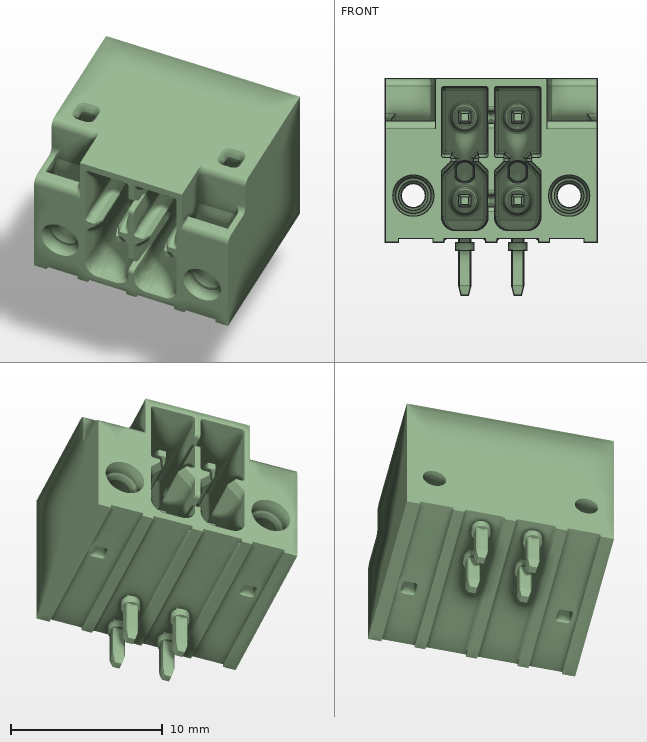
import cadquery as cq
import math

WIDTH = 14.0
DEPTH = 11.6
HEIGHT = 10.8
TAIL_DROP = 14.3 - HEIGHT

COLUMN_X = 1.75
LOWER_Z = 2.73
UPPER_Z = 8.24
LOWER_TAIL_Y = DEPTH - 3.59
UPPER_TAIL_Y = DEPTH - 1.1

CAVITY_DEPTH = 6.58
CAVITY_HALF = 1.55
CAVITY_TOP = 10.27
CAVITY_BOTTOM = 0.77
CAVITY_DRAFT = 0.07
LEAD_IN = 0.65
SMALL_RADIUS = 0.2
BOTTOM_RADIUS = 0.93
RAMP_RADIUS = 0.7
NECK_BOTTOM = 5.33
TOOTH_TOP = 5.8
TOOTH_NOSE_TOP = 5.58
NECK_HALF = 0.59
NECK_NOSE_HALF = 0.92
TOOTH_CHAMFER = 0.29
SHOULDER_RADIUS = 0.72
NOSE_BAND_BOTTOM = 3.86
NOSE_BAND_TOP = 6.15
SHARP = 0.03

BOSS_RADIUS = 0.95
BOSS_TOP_RADIUS = 0.83
BOSS_HEIGHT = 0.57
BOSS_ROUND = 0.13
DIMPLE_DIAMETER = 1.49
DIMPLE_WIDTH = 1.27
DIMPLE_Z = 4.65
DIMPLE_DEPTH = 0.43
DIMPLE_DRAFT_ANGLE = 13

SLOT_HEIGHT = 0.8
SLOT_ROUND = 0.3
SLOT_HALF_LENGTH = 0.43
SLOT_DEPTH = 5.72

BLOCK_HALF = 3.68
SHELF_Z = 8.0
NOTCH_DEPTH = 2.82
NOTCH_RADIUS = 0.5
NOTCH_CORNER_RADIUS = 0.29
RIM_WIDTH = 0.41
POCKET_FRONT_Y = 0.92
POCKET_FLOOR_Z = 6.5
SLOPE_TOP_Z = 7.52
SLOPE_RUN = 0.6

MOUNT_X = 5.13
MOUNT_Z = 3.07
MOUNT_RADIUS = 0.79
MOUNT_NECK_RADIUS = 0.97
MOUNT_NECK_LENGTH = 0.29
MOUNT_SEAT_RADIUS = 1.17
MOUNT_MOUTH_RADIUS = 1.36
MOUNT_SEAT_DEPTH = 0.86

SHAFT_X = 5.25
SHAFT_Y = 4.49
SHAFT_SIZE = 1.02
SHAFT_CORNER = 0.21
FUNNEL_SIZE = 1.65
FUNNEL_CORNER = 0.53
FUNNEL_DEPTH = 0.5

FOOT_HEIGHT = 0.25
SIDE_GROOVE_X = 4.98
SIDE_GROOVE_WIDTH = 2.25
TAIL_GROOVE_WIDTH = 2.75
GROOVE_CHAMFER = 0.15
GROOVE_MOUTH = 0.43

PIN_SIZE = 0.82
PIN_EDGE = 0.07
PIN_TIP_SIZE = 0.49
PIN_TIP_LENGTH = 0.65
PIN_FRONT_Y = 2
COLLAR_DIAMETER = 1.25
COLLAR_HEIGHT = 0.53

SIDES = (-1, 1)
TOLERANCE = 1.43e-07


def cavity_section(y, inset, neck_half, tooth_top, chamfer, shoulder_radius):
    """Closed outline of a two-lobed cavity, centred on X = 0, in the plane at the given Y."""
    half = CAVITY_HALF - inset
    top = CAVITY_TOP - inset
    bottom = CAVITY_BOTTOM
    shoulder_z = NECK_BOTTOM - (half - neck_half)
    right = [
        (half, bottom),
        (half, shoulder_z),
        (neck_half, NECK_BOTTOM),
        (neck_half, tooth_top - chamfer),
        (neck_half + chamfer, tooth_top),
        (half, tooth_top),
        (half, top),
    ]
    left = [(-x, z) for x, z in reversed(right)]
    wire = cq.Wire.makePolygon([cq.Vector(x, y, z) for x, z in right + left], close=True)

    def vertices_at(*heights):
        return [
            v for v in wire.Vertices()
            if abs(abs(v.X) - half) < TOLERANCE and any(abs(v.Z - z) < TOLERANCE for z in heights)
        ]

    wire = wire.fillet2D(BOTTOM_RADIUS, vertices_at(bottom))
    wire = wire.fillet2D(shoulder_radius, vertices_at(shoulder_z))
    return wire.fillet2D(SMALL_RADIUS, vertices_at(tooth_top, top))


def cavity_space():
    """Space of one cavity: drafted walls, tapered tooth noses, rounded floor edges and a ramp below."""
    mouth = cavity_section(0, 0, NECK_NOSE_HALF, TOOTH_NOSE_TOP, SHARP, SHARP)
    front, throat, floor = [
        cavity_section(
            y, CAVITY_DRAFT * y / CAVITY_DEPTH, NECK_HALF, TOOTH_TOP, TOOTH_CHAMFER, SHOULDER_RADIUS
        )
        for y in (0, LEAD_IN, CAVITY_DEPTH)
    ]
    noses = cq.Workplane(cq.Solid.makeLoft([mouth, throat], True)).intersect(
        cq.Workplane("XY", origin=(0, 0, NOSE_BAND_BOTTOM)).box(
            WIDTH, DEPTH, NOSE_BAND_TOP - NOSE_BAND_BOTTOM, centered=(True, True, False)
        )
    )
    body = cq.Workplane(cq.Solid.makeLoft([front, floor], True))
    ramp = (
        cq.Workplane("YZ")
        .rect(CAVITY_DEPTH, HEIGHT - CAVITY_BOTTOM, centered=False)
        .extrude(CAVITY_HALF, both=True)
        .translate((0, 0, CAVITY_BOTTOM))
        .edges("|X and >Y and <Z")
        .fillet(RAMP_RADIUS)
    )
    body = body.intersect(ramp)
    floor_and_ramp = body.faces(cq.selectors.BoxSelector(
        (-CAVITY_HALF, CAVITY_DEPTH - RAMP_RADIUS, 0), (CAVITY_HALF, CAVITY_DEPTH + RAMP_RADIUS, HEIGHT)))
    rounded_edges = floor_and_ramp.edges().filter(lambda edge: abs(edge.Center().x) > SMALL_RADIUS)
    return noses.union(rounded_edges.fillet(SMALL_RADIUS))


def floor_boss(z):
    """Boss around a pin on the cavity floor, with a round at its base and at its top."""
    floor_y = CAVITY_DEPTH
    top_y = floor_y - BOSS_HEIGHT
    profile = (
        cq.Workplane("XY")
        .moveTo(0, floor_y)
        .lineTo(BOSS_RADIUS + BOSS_ROUND, floor_y)
        .radiusArc((BOSS_RADIUS, floor_y - BOSS_ROUND), -BOSS_ROUND)
        .lineTo(BOSS_TOP_RADIUS, top_y + BOSS_ROUND)
        .radiusArc((BOSS_TOP_RADIUS - BOSS_ROUND, top_y), BOSS_ROUND)
        .lineTo(0, top_y)
        .close()
    )
    return profile.revolve(360, (0, 0, 0), (0, 1, 0)).translate((0, 0, z))


def floor_dimple():
    """Tapered round recess with flattened sides in the cavity floor."""
    round_part = (
        cq.Workplane("XZ", origin=(0, CAVITY_DEPTH, DIMPLE_Z))
        .circle(DIMPLE_DIAMETER / 2)
        .extrude(-DIMPLE_DEPTH, taper=DIMPLE_DRAFT_ANGLE)
    )
    flats = (
        cq.Workplane("XZ", origin=(0, CAVITY_DEPTH, DIMPLE_Z))
        .rect(DIMPLE_WIDTH, DIMPLE_DIAMETER)
        .extrude(-DIMPLE_DEPTH, taper=DIMPLE_DRAFT_ANGLE)
    )
    return round_part.intersect(flats)


def wall_slot(z):
    """Slot through the wall between the cavities, flared at the front and round at its end."""
    half = SLOT_HEIGHT / 2
    end_y = SLOT_DEPTH - half
    return (
        cq.Workplane("YZ")
        .moveTo(0, half + SLOT_ROUND)
        .radiusArc((SLOT_ROUND, half), -SLOT_ROUND)
        .lineTo(end_y, half)
        .threePointArc((SLOT_DEPTH, 0), (end_y, -half))
        .lineTo(SLOT_ROUND, -half)
        .radiusArc((0, -half - SLOT_ROUND), -SLOT_ROUND)
        .close()
        .extrude(SLOT_HALF_LENGTH, both=True)
        .translate((0, 0, z))
    )


def shoulder_notch():
    """Open notch above the right-hand shelf, rounded where it meets the top and front faces."""
    r = NOTCH_RADIUS
    back_start = NOTCH_DEPTH - r
    sharp = (
        cq.Workplane("YZ", origin=(BLOCK_HALF, 0, 0))
        .moveTo(0, HEIGHT)
        .lineTo(NOTCH_DEPTH + r, HEIGHT)
        .radiusArc((NOTCH_DEPTH, HEIGHT - r), -r)
        .lineTo(NOTCH_DEPTH, SHELF_Z + r)
        .radiusArc((back_start, SHELF_Z), r)
        .lineTo(r, SHELF_Z)
        .radiusArc((0, SHELF_Z - r), -r)
        .close()
        .extrude(WIDTH / 2 - BLOCK_HALF)
    )
    front_part = sharp.intersect(cq.Workplane("XY").box(2 * WIDTH, 2 * back_start, 2 * HEIGHT))
    back_corner = cq.selectors.BoxSelector((0, back_start, SHELF_Z), (WIDTH, NOTCH_DEPTH + r, HEIGHT))
    return sharp.faces("<X").edges(back_corner).fillet(NOTCH_CORNER_RADIUS).union(front_part)


def shelf_pocket():
    """Pocket sunk in the right-hand shelf, with a sloped back and rounded back corners."""
    back_corners = cq.selectors.BoxSelector(
        (0, NOTCH_DEPTH - SLOPE_RUN, POCKET_FLOOR_Z), (WIDTH, DEPTH, HEIGHT)
    )
    return (
        cq.Workplane("YZ", origin=(BLOCK_HALF, 0, 0))
        .moveTo(POCKET_FRONT_Y, POCKET_FLOOR_Z)
        .lineTo(NOTCH_DEPTH - SLOPE_RUN, POCKET_FLOOR_Z)
        .lineTo(NOTCH_DEPTH, SLOPE_TOP_Z)
        .lineTo(NOTCH_DEPTH, HEIGHT - NOTCH_RADIUS)
        .lineTo(POCKET_FRONT_Y, HEIGHT - NOTCH_RADIUS)
        .close()
        .extrude(WIDTH / 2 - RIM_WIDTH - BLOCK_HALF)
        .edges("not |X")
        .edges(back_corners)
        .fillet(NOTCH_CORNER_RADIUS)
    )


def mounting_hole():
    """Stepped hole along Y with a conical mouth, on the right-hand side."""
    neck_end = MOUNT_SEAT_DEPTH + MOUNT_NECK_LENGTH
    return (
        cq.Workplane("XY")
        .polyline([
            (0, 0),
            (MOUNT_MOUTH_RADIUS, 0),
            (MOUNT_SEAT_RADIUS, MOUNT_SEAT_DEPTH),
            (MOUNT_NECK_RADIUS, MOUNT_SEAT_DEPTH),
            (MOUNT_RADIUS, neck_end),
            (MOUNT_RADIUS, DEPTH),
            (0, DEPTH),
        ])
        .close()
        .revolve(360, (0, 0, 0), (0, 1, 0))
        .translate((MOUNT_X, 0, MOUNT_Z))
    )


def square_shaft():
    """Square shaft with a funnel at the top, on the right-hand side."""
    funnel_z = HEIGHT - FUNNEL_DEPTH
    shaft_outline = cq.Sketch().rect(SHAFT_SIZE, SHAFT_SIZE).vertices().fillet(SHAFT_CORNER)
    funnel_outline = cq.Sketch().rect(FUNNEL_SIZE, FUNNEL_SIZE).vertices().fillet(FUNNEL_CORNER)
    shaft = cq.Workplane("XY").placeSketch(shaft_outline).extrude(HEIGHT)
    funnel = (
        cq.Workplane("XY", origin=(0, 0, funnel_z))
        .placeSketch(shaft_outline, funnel_outline.moved(cq.Location(cq.Vector(0, 0, FUNNEL_DEPTH))))
        .loft()
    )
    return shaft.union(funnel).translate((SHAFT_X, SHAFT_Y, 0))


def side_groove():
    """Plain groove under the right-hand side of the housing."""
    return (
        cq.Workplane("XY", origin=(SIDE_GROOVE_X, DEPTH / 2, 0))
        .box(SIDE_GROOVE_WIDTH, DEPTH, FOOT_HEIGHT, centered=(True, True, False))
    )


def tail_groove():
    """Groove over a column of tails: square corners at the mouth, chamfered ones behind it."""
    groove = (
        cq.Workplane("XY", origin=(0, DEPTH / 2, 0))
        .box(TAIL_GROOVE_WIDTH, DEPTH, FOOT_HEIGHT, centered=(True, True, False))
    )
    mouth = groove.intersect(cq.Workplane("XY").box(WIDTH, 2 * GROOVE_MOUTH, HEIGHT))
    return groove.edges("|Y and >Z").chamfer(GROOVE_CHAMFER).union(mouth)


def tapered_bar(length):
    """Square bar along +Z with chamfered edges, ending in a tapered tip at Z = length."""
    shank_length = length - PIN_TIP_LENGTH
    tip_angle = math.degrees(math.atan2((PIN_SIZE - PIN_TIP_SIZE) / 2, PIN_TIP_LENGTH))
    shank = cq.Workplane("XY").rect(PIN_SIZE, PIN_SIZE).extrude(length).edges("|Z").chamfer(PIN_EDGE)
    envelope = (
        cq.Workplane("XY")
        .rect(PIN_SIZE, PIN_SIZE)
        .extrude(shank_length)
        .faces(">Z")
        .workplane()
        .rect(PIN_SIZE, PIN_SIZE)
        .extrude(PIN_TIP_LENGTH, taper=tip_angle)
    )
    return shank.intersect(envelope)


def make_pin(x, row_z, tail_y):
    """Right-angled pin: a contact bar pointing to the front and a tail bar pointing down."""
    corner_y = tail_y + PIN_SIZE / 2
    corner_z = row_z + PIN_SIZE / 2
    contact = (
        tapered_bar(corner_y - PIN_FRONT_Y)
        .rotate((0, 0, 0), (1, 0, 0), 90)
        .translate((x, corner_y, row_z))
    )
    tail = (
        tapered_bar(corner_z + TAIL_DROP)
        .rotate((0, 0, 0), (1, 0, 0), 180)
        .translate((x, tail_y, corner_z))
    )
    return contact.union(tail)


def make_collar(x, tail_y, pin):
    """Round collar sitting on a tail, level with the feet at its top."""
    disc = cq.Workplane("XY", origin=(x, tail_y, 0)).circle(COLLAR_DIAMETER / 2).extrude(-COLLAR_HEIGHT)
    return disc.cut(pin)


def make_housing(pins):
    """Housing with its cavities, notches, holes and grooves, fitted closely around the pins."""
    block = cq.Workplane("XY", origin=(0, DEPTH / 2, 0)).box(
        WIDTH, DEPTH, HEIGHT, centered=(True, True, False)
    )
    cavity = cavity_space().union(floor_dimple())
    for z in (LOWER_Z, UPPER_Z):
        cavity = cavity.cut(floor_boss(z))
    spaces = [wall_slot(z) for z in (LOWER_Z, UPPER_Z)]
    for side in SIDES:
        spaces += [space.translate((side * COLUMN_X, 0, 0)) for space in (cavity, tail_groove())]
    for space in (shoulder_notch().union(shelf_pocket()), mounting_hole(), square_shaft(), side_groove()):
        spaces += [space, space.mirror("YZ")]
    return cq.Workplane(block.val().cut(*[space.val() for space in spaces + pins])).clean()


pins = []
collars = []
for column in SIDES:
    for row_z, tail_y in ((LOWER_Z, LOWER_TAIL_Y), (UPPER_Z, UPPER_TAIL_Y)):
        pin = make_pin(column * COLUMN_X, row_z, tail_y)
        pins.append(pin)
        collars.append(make_collar(column * COLUMN_X, tail_y, pin))

housing = make_housing(pins)

result = cq.Compound.makeCompound(
    [housing.val()] + [pin.val() for pin in pins] + [collar.val() for collar in collars]
)